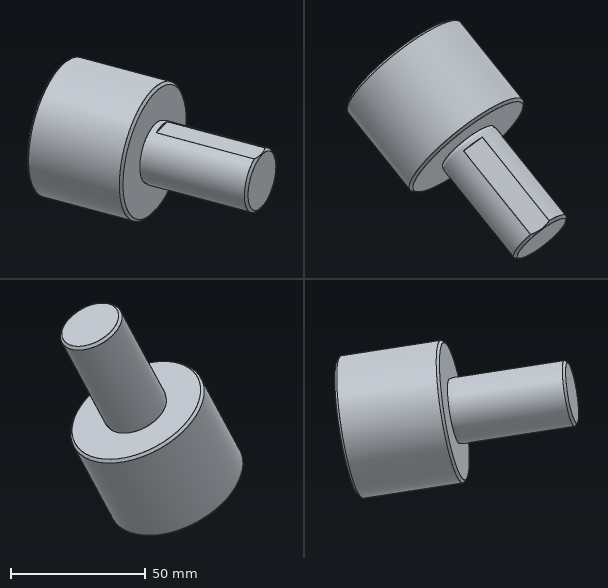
import cadquery as cq

total_length = 85
head_length = 40.0
head_diameter = 54.0
head_chamfer = 1.0
shank_diameter = 25.0
shank_chamfer = 1.0
undercut_length = 1.45
undercut_depth = 0.3
undercut_land = 0.2
flat_offset = 3.0
flat_depth = 0.8

head_radius = head_diameter / 2
shank_radius = shank_diameter / 2


def turned_body():
    """Chamfered head and shank, with a shallow tapered undercut at the shoulder."""
    groove_radius = shank_radius - undercut_depth
    half_profile = [
        (0, 0),
        (0, head_radius - head_chamfer),
        (head_chamfer, head_radius),
        (head_length - head_chamfer, head_radius),
        (head_length, head_radius - head_chamfer),
        (head_length, groove_radius),
        (head_length + undercut_land, groove_radius),
        (head_length + undercut_length, shank_radius),
        (total_length - shank_chamfer, shank_radius),
        (total_length, shank_radius - shank_chamfer),
        (total_length, 0),
    ]
    return cq.Workplane("XY").polyline(half_profile).close().revolve(360, (0, 0, 0), (1, 0, 0))


def flat_cutter():
    """Block that removes the top of the shank, from the flat's start to the free end."""
    flat_start = head_length + flat_offset
    flat_length = total_length - flat_start
    return (
        cq.Workplane("XY")
        .box(flat_length, shank_diameter, flat_depth, centered=(False, True, False))
        .translate((flat_start, 0, shank_radius - flat_depth))
    )


result = turned_body().cut(flat_cutter())